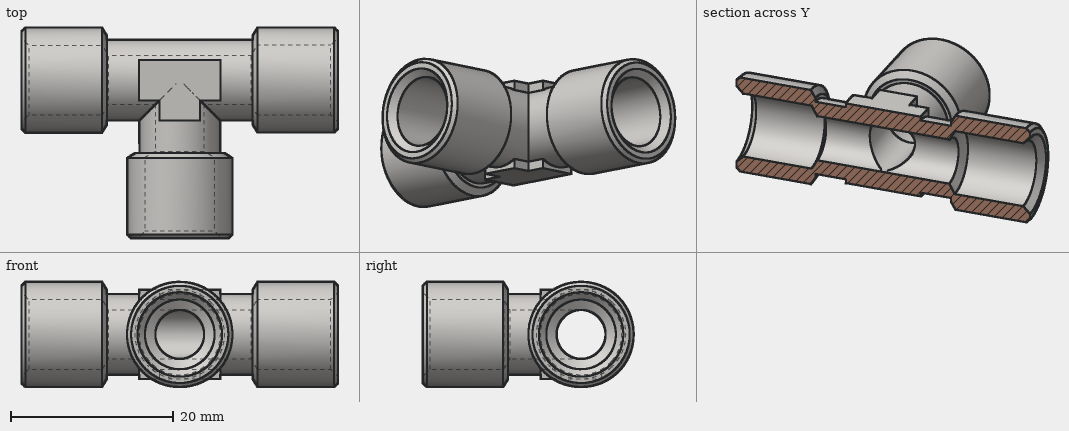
import cadquery as cq
import math

run_length = 39.0
arm_length = run_length / 2
head_diameter = 13.0
head_length = 10.53
mouth_chamfer = 0.5
shoulder_length = 0.62
shoulder_diameter = 11.0
neck_diameter = 10.0
bore_diameter = 6.0

socket_diameter = 8.58
flare_diameter = 10.4
flare_depth = (flare_diameter - socket_diameter) / 2
socket_depth = 10.0
floor_half_angle = 60.0
floor_cone_depth = (socket_diameter - bore_diameter) / 2 / math.tan(math.radians(floor_half_angle))

pad_height_across = 11.0
pad_width = neck_diameter
pad_bar_width = pad_width / 2
pad_reach = neck_diameter / 2

arm_angles = (0, 180, 270)


def revolve_arm(profile, angle):
    """Revolve an (axial, radial) profile about X, then turn it about Z."""
    solid = cq.Workplane("XY").polyline(profile).close().revolve(360, (0, 0, 0), (1, 0, 0))
    return solid.rotate((0, 0, 0), (0, 0, 1), angle)


def outer_arm(angle):
    head_start = arm_length - head_length
    head_radius = head_diameter / 2
    neck_radius = neck_diameter / 2
    profile = [
        (0, 0),
        (0, neck_radius),
        (head_start, neck_radius),
        (head_start, shoulder_diameter / 2),
        (head_start + shoulder_length, head_radius),
        (arm_length - mouth_chamfer, head_radius),
        (arm_length, head_radius - mouth_chamfer),
        (arm_length, 0),
    ]
    return revolve_arm(profile, angle)


def arm_cavity(angle):
    floor = arm_length - socket_depth
    profile = [
        (0, 0),
        (0, bore_diameter / 2),
        (floor - floor_cone_depth, bore_diameter / 2),
        (floor, socket_diameter / 2),
        (arm_length - flare_depth, socket_diameter / 2),
        (arm_length, flare_diameter / 2),
        (arm_length, 0),
    ]
    return revolve_arm(profile, angle)


def tee_pads():
    """T-shaped prism whose two ends stand proud of the necks."""
    bar = cq.Workplane("XY").box(pad_width, pad_bar_width, pad_height_across)
    stem = (
        cq.Workplane("XY")
        .box(pad_bar_width, pad_reach, pad_height_across)
        .translate((0, -pad_reach / 2, 0))
    )
    return bar.union(stem)


result = tee_pads()
for arm_angle in arm_angles:
    result = result.union(outer_arm(arm_angle))
for arm_angle in arm_angles:
    result = result.cut(arm_cavity(arm_angle))